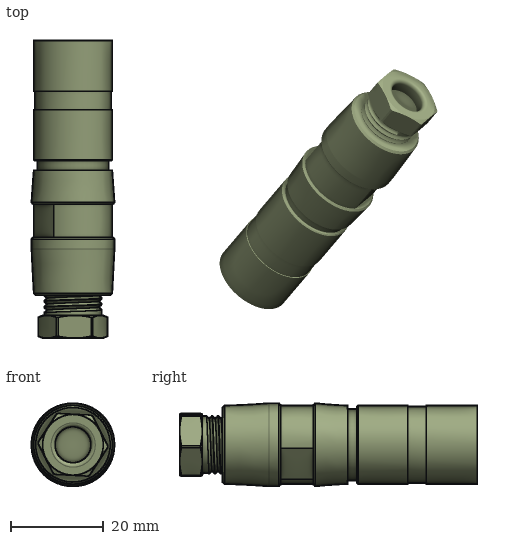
import cadquery as cq
import math


LENGTH = 64.3

BODY_DIA = 17.0
GROOVE_DIA = 16.6
GROOVE_START = 11.0
GROOVE_END = 15.0

NECK_DIA = 15.5
NECK_START = 26.0
NECK_END = 28.0
NECK_CHAMFER = 0.25

COLLAR_DIA = 18.0
COLLAR_CHAMFER = 0.4
REAR_COLLAR_END = 35.4
FRONT_COLLAR_START = 42.5
TAPER_START = 45.0
FRONT_COLLAR_END = 55.05
FRONT_EDGE_CHAMFER = 0.45

FLAT_WIDTH = 15.0
HEX_NORMAL_ANGLE = 147.0

THREAD_DIA = 12.5
THREAD_PITCH = 1.28
THREAD_DEPTH = 0.6
CREST_WIDTH = 0.06
THREAD_END = 58.6
THREAD_OVERLAP = 2 * THREAD_PITCH
CUT_CLEARANCE = 0.01

HEX_HALF_ANGLE = 30.0

NUT_START = 59.4
NUT_WIDTH = 13.2
NUT_CORNER_DIA = 15.0
NUT_FACE_DIA = 13.1
NUT_CHAMFER = 0.4

BORE_DIA = 7.75
BORE_DEPTH = 3.0
BORE_MOUTH_RADIUS = 0.9


def revolve_profile(points):
    """Revolve an outline of (radius, station) points about the Y axis."""
    outline = [(radius, -station) for radius, station in points]
    return cq.Workplane("XY").polyline(outline).close().revolve(360, (0, 0, 0), (0, 1, 0))


def make_body():
    """Turned body with a shallow groove, a neck and two tapered collars."""
    body_radius = BODY_DIA / 2
    groove_radius = GROOVE_DIA / 2
    neck_radius = NECK_DIA / 2
    collar_radius = COLLAR_DIA / 2
    collar_edge_radius = collar_radius - COLLAR_CHAMFER
    return revolve_profile([
        (0, 0),
        (body_radius, 0),
        (body_radius, GROOVE_START),
        (groove_radius, GROOVE_START),
        (groove_radius, GROOVE_END),
        (body_radius, GROOVE_END),
        (body_radius, NECK_START - NECK_CHAMFER),
        (body_radius - NECK_CHAMFER, NECK_START),
        (neck_radius, NECK_START),
        (neck_radius, NECK_END),
        (body_radius, NECK_END),
        (collar_radius, REAR_COLLAR_END - COLLAR_CHAMFER),
        (collar_edge_radius, REAR_COLLAR_END),
        (body_radius, REAR_COLLAR_END),
        (body_radius, FRONT_COLLAR_START),
        (collar_edge_radius, FRONT_COLLAR_START),
        (collar_radius, FRONT_COLLAR_START + COLLAR_CHAMFER),
        (collar_radius, TAPER_START),
        (body_radius, FRONT_COLLAR_END - FRONT_EDGE_CHAMFER),
        (body_radius - FRONT_EDGE_CHAMFER, FRONT_COLLAR_END),
        (0, FRONT_COLLAR_END),
    ])


def wrench_flat_cutters():
    """Two blocks that leave opposite wrench flats between the collars."""
    length = FRONT_COLLAR_START - REAR_COLLAR_END
    middle = (REAR_COLLAR_END + FRONT_COLLAR_START) / 2
    cutters = cq.Workplane("XY")
    for side in (-1, 1):
        block = cq.Workplane("XY").box(COLLAR_DIA, length, COLLAR_DIA)
        block = block.translate((side * (FLAT_WIDTH + COLLAR_DIA) / 2, -middle, 0))
        cutters = cutters.add(block.rotate((0, 0, 0), (0, 1, 0), -HEX_NORMAL_ANGLE))
    return cutters.combine()


def make_threaded_shank():
    """Shank with a right-handed V thread, running from inside the collar up to the nut."""
    start = FRONT_COLLAR_END - THREAD_OVERLAP
    radius = THREAD_DIA / 2
    shank = cq.Workplane("XY").circle(radius).extrude(NUT_START - start)

    half_width = (THREAD_PITCH - CREST_WIDTH) / 2
    root_radius = radius - THREAD_DEPTH
    clear_radius = radius + CUT_CLEARANCE
    helix = cq.Wire.makeHelix(THREAD_PITCH, THREAD_END - start, radius)
    groove = (
        cq.Workplane("XZ")
        .polyline([(root_radius, 0), (clear_radius, half_width), (clear_radius, -half_width)])
        .close()
        .sweep(cq.Workplane(helix), isFrenet=True)
    )
    shank = shank.cut(groove)
    return shank.rotate((0, 0, 0), (1, 0, 0), 90).translate((0, -start, 0))


def make_nut():
    """Hexagon nut with corners trimmed to a cylinder and both ends chamfered."""
    corner_distance = NUT_WIDTH / math.cos(math.radians(HEX_HALF_ANGLE))
    hexagon = (
        cq.Workplane("XZ", origin=(0, -NUT_START, 0))
        .polygon(6, corner_distance)
        .extrude(LENGTH - NUT_START)
        .rotate((0, 0, 0), (0, 1, 0), HEX_HALF_ANGLE - HEX_NORMAL_ANGLE)
    )
    face_radius = NUT_FACE_DIA / 2
    corner_radius = NUT_CORNER_DIA / 2
    envelope = revolve_profile([
        (0, NUT_START),
        (face_radius, NUT_START),
        (corner_radius, NUT_START + NUT_CHAMFER),
        (corner_radius, LENGTH - NUT_CHAMFER),
        (face_radius, LENGTH),
        (0, LENGTH),
    ])
    return hexagon.intersect(envelope)


def bore_cutter():
    """Blind bore whose mouth is rounded out to the nut face."""
    radius = BORE_DIA / 2
    round_start = LENGTH - BORE_MOUTH_RADIUS
    bend = BORE_MOUTH_RADIUS * math.sqrt(0.5)
    bend_point = (radius + BORE_MOUTH_RADIUS - bend, -(round_start + bend))
    return (
        cq.Workplane("XY")
        .moveTo(0, -(LENGTH - BORE_DEPTH))
        .lineTo(radius, -(LENGTH - BORE_DEPTH))
        .lineTo(radius, -round_start)
        .threePointArc(bend_point, (radius + BORE_MOUTH_RADIUS, -LENGTH))
        .lineTo(0, -LENGTH)
        .close()
        .revolve(360, (0, 0, 0), (0, 1, 0))
    )


body = make_body().cut(wrench_flat_cutters())
result = body.union(make_threaded_shank()).union(make_nut()).cut(bore_cutter())